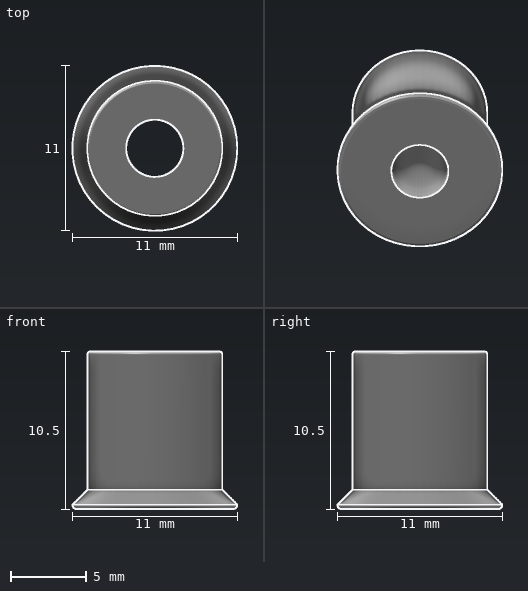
import cadquery as cq

flange_diameter = 11.0
height = 10.5
body_diameter = 9.0
bore_diameter = 3.8

top_fillet = 0.2
rim_height = 0.3
flare_height = 1.0

flange_radius = flange_diameter / 2
body_radius = body_diameter / 2
bore_radius = bore_diameter / 2
flare_top = rim_height + flare_height


def rounded_rim(profile):
    """Quarter arc from the flat base out to the sharp widest edge."""
    return profile.radiusArc((flange_radius, rim_height), -rim_height)


profile = cq.Workplane("XZ").moveTo(bore_radius, 0).lineTo(flange_radius - rim_height, 0)
profile = rounded_rim(profile)
profile = (
    profile.lineTo(body_radius, flare_top)
    .lineTo(body_radius, height)
    .lineTo(bore_radius, height)
    .close()
)
sleeve = profile.revolve(360, (0, 0, 0), (0, 1, 0))

top_edge = cq.selectors.RadiusNthSelector(-1)
result = sleeve.faces(">Z").edges(top_edge).fillet(top_fillet)